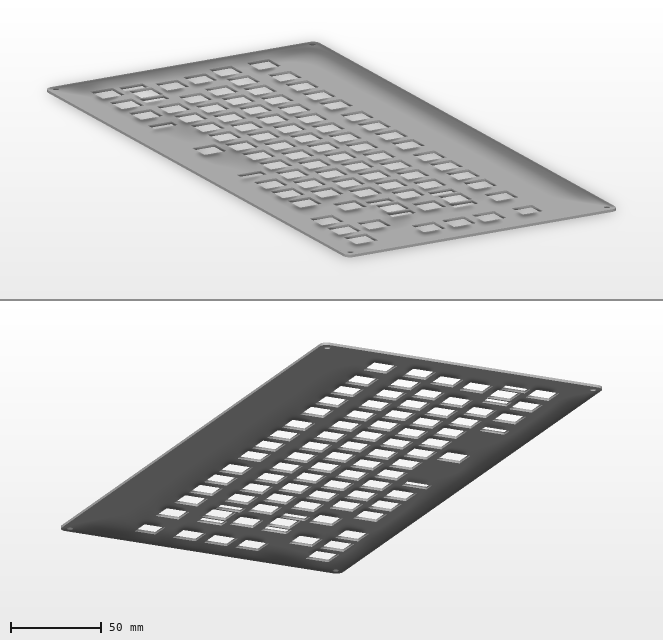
import cadquery as cq

plate_length = 339.7
plate_width = 171.2
plate_thickness = 1.5
corner_radius = 4.0

screw_hole_diameter = 3.5
screw_hole_inset = 4.8

field_units = 16.5
key_unit = 19.0
field_length = field_units * key_unit
field_left = -field_length / 2
tab_y = -2.55
arrow_drop = key_unit / 4
function_row_gap = key_unit * 1.25

switch_size = 14.0
switch_corner_radius = 0.5
corner_cutout_size = 12.5
corner_cutout_rise = 0.5
stabilizer_length = 7.0
stabilizer_width = 15.0
stabilizer_drop = 1.5
wide_key_stabilizer_offset = 12.0
spacebar_stabilizer_offset = 50.0

number_row_y = tab_y + key_unit
function_y = number_row_y + function_row_gap
caps_y = tab_y - key_unit
shift_y = caps_y - key_unit
bottom_y = shift_y - key_unit

backspace_at = 14.0
enter_at = 13.875
left_shift_at = 1.125
spacebar_at = 6.625
last_column_at = field_units - 0.5


def run_of_keys(first, count):
    """Centres of adjacent one-unit keys, in key units."""
    return [first + i for i in range(count)]


def key_x(units):
    """X coordinate of a key centre given in key units."""
    return field_left + units * key_unit


def rectangular_cutters(points, length, width):
    """Boxes through the plate thickness at the given centres."""
    return cq.Workplane("XY").pushPoints(points).rect(length, width).extrude(plate_thickness)


switch_rows = [
    (function_y, [0.5] + run_of_keys(1.75, 4) + run_of_keys(6.0, 4) + run_of_keys(10.25, 4) + [14.5]),
    (number_row_y, run_of_keys(0.5, 13) + [backspace_at, last_column_at]),
    (tab_y, [0.75] + run_of_keys(2.0, 12) + [14.25, last_column_at]),
    (caps_y, [0.875] + run_of_keys(2.25, 11) + [enter_at, last_column_at]),
    (shift_y, [left_shift_at] + run_of_keys(2.75, 10) + [13.125]),
    (bottom_y, [0.625, 1.75, 2.875, spacebar_at] + run_of_keys(10.25, 3)),
    (shift_y - arrow_drop, [last_column_at - 1]),
    (bottom_y - arrow_drop, run_of_keys(last_column_at - 2, 3)),
]

stabilized_keys = [
    (backspace_at, number_row_y, wide_key_stabilizer_offset),
    (enter_at, caps_y, wide_key_stabilizer_offset),
    (left_shift_at, shift_y, wide_key_stabilizer_offset),
    (spacebar_at, bottom_y, spacebar_stabilizer_offset),
]


def make_plate():
    """Flat plate with rounded corners and a screw hole in each corner."""
    return (
        cq.Workplane("XY")
        .rect(plate_length, plate_width)
        .extrude(plate_thickness)
        .edges("|Z")
        .fillet(corner_radius)
        .faces(">Z")
        .workplane()
        .rect(plate_length - 2 * screw_hole_inset, plate_width - 2 * screw_hole_inset, forConstruction=True)
        .vertices()
        .hole(screw_hole_diameter)
    )


def switch_cutters():
    """Square switch openings for every key row."""
    centres = [(key_x(units), y) for y, row in switch_rows for units in row]
    cutters = rectangular_cutters(centres, switch_size, switch_size)
    return cutters.edges("|Z").fillet(switch_corner_radius)


def stabilizer_cutters():
    """Pairs of upright slots beside the wide keys."""
    centres = [
        (key_x(units) + side * offset, y - stabilizer_drop)
        for units, y, offset in stabilized_keys
        for side in (-1, 1)
    ]
    return rectangular_cutters(centres, stabilizer_length, stabilizer_width)


def corner_cutter():
    """Smaller square opening at the right end of the function row."""
    centre = (key_x(last_column_at), function_y + corner_cutout_rise)
    return rectangular_cutters([centre], corner_cutout_size, corner_cutout_size)


result = make_plate().cut(switch_cutters()).cut(stabilizer_cutters()).cut(corner_cutter())